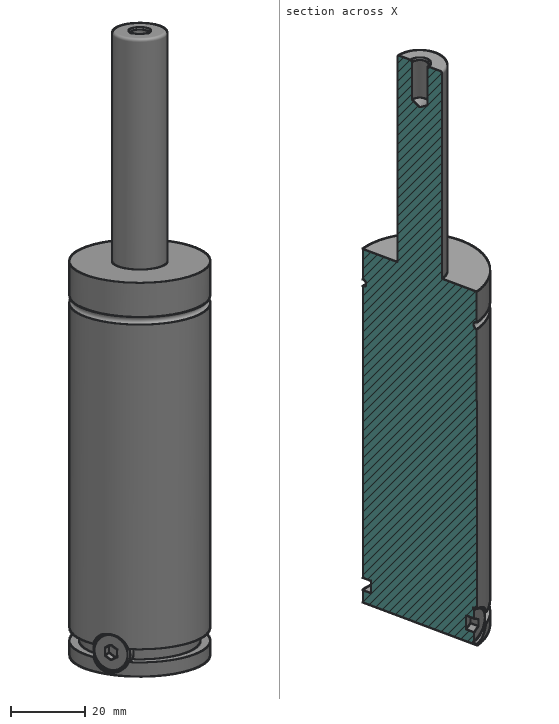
import cadquery as cq
import math

total_height = 177.0
body_diameter = 38.0
body_height = 111.7
rod_diameter = 15.0
rod_edge_round = 0.9

base_flange_height = 4.0
base_groove_width = 3.7
base_groove_depth = 2.7
ring_groove_radius = 1.0
ring_groove_height = 100.9

rod_hole_diameter = 5.0
rod_hole_mouth_diameter = 6.0
rod_hole_depth = 12.4
drill_tip_angle = 118.0

plug_height = 6.0
plug_diameter = 11.0
plug_chamfer = 0.5
plug_face_inset = 0.9
plug_socket_corner_diameter = 4.2
plug_socket_depth = 2.7
plug_length = 7.0

body_radius = body_diameter / 2


def make_body():
    """Cylinder with a square groove near the base and a round groove near the top."""
    groove_radius = body_radius - base_groove_depth
    groove_top = base_flange_height + base_groove_width
    profile = (
        cq.Workplane("XZ")
        .lineTo(body_radius, 0)
        .lineTo(body_radius, base_flange_height)
        .lineTo(groove_radius, base_flange_height)
        .lineTo(groove_radius, groove_top)
        .lineTo(body_radius, groove_top)
        .lineTo(body_radius, ring_groove_height - ring_groove_radius)
        .threePointArc(
            (body_radius - ring_groove_radius, ring_groove_height),
            (body_radius, ring_groove_height + ring_groove_radius),
        )
        .lineTo(body_radius, body_height)
        .lineTo(0, body_height)
        .close()
    )
    return profile.revolve(360, (0, 0, 0), (0, 1, 0))


def make_rod():
    """Piston rod with a rounded end edge, running on from the top of the body."""
    rod = cq.Workplane("XY").workplane(offset=body_height)
    rod = rod.circle(rod_diameter / 2).extrude(total_height - body_height)
    return rod.faces(">Z").edges().fillet(rod_edge_round)


def make_rod_hole():
    """Blind drilled hole with a 45 degree countersink and a conical bottom."""
    hole_radius = rod_hole_diameter / 2
    mouth_radius = rod_hole_mouth_diameter / 2
    hole_bottom = total_height - rod_hole_depth
    tip_length = hole_radius / math.tan(math.radians(drill_tip_angle / 2))
    profile = (
        cq.Workplane("XZ")
        .moveTo(0, hole_bottom - tip_length)
        .lineTo(hole_radius, hole_bottom)
        .lineTo(hole_radius, total_height - (mouth_radius - hole_radius))
        .lineTo(mouth_radius, total_height)
        .lineTo(0, total_height)
        .close()
    )
    return profile.revolve(360, (0, 0, 0), (0, 1, 0))


def plug_plane(inset):
    """Plane across the plug axis, `inset` below the front of the body."""
    return cq.Workplane("XZ", origin=(0, inset - body_radius, plug_height))


def plug_cylinder(diameter, inset, length):
    """Cylinder starting `inset` below the body surface and reaching `length` toward +Y."""
    return plug_plane(inset).circle(diameter / 2).extrude(-length)


def add_plug(part):
    """Set a chamfered plug with a hexagon socket into a pocket of the same diameter."""
    pocket = plug_cylinder(plug_diameter, 0, plug_length)
    plug = plug_cylinder(plug_diameter, plug_face_inset, plug_length)
    plug = plug.faces("<Y").edges().chamfer(plug_chamfer)
    socket = (
        plug_plane(plug_face_inset)
        .transformed(rotate=(0, 0, 90))
        .polygon(6, plug_socket_corner_diameter)
        .extrude(-plug_socket_depth)
    )
    return part.cut(pocket).union(plug).cut(socket)


result = add_plug(make_body().union(make_rod()).cut(make_rod_hole()))